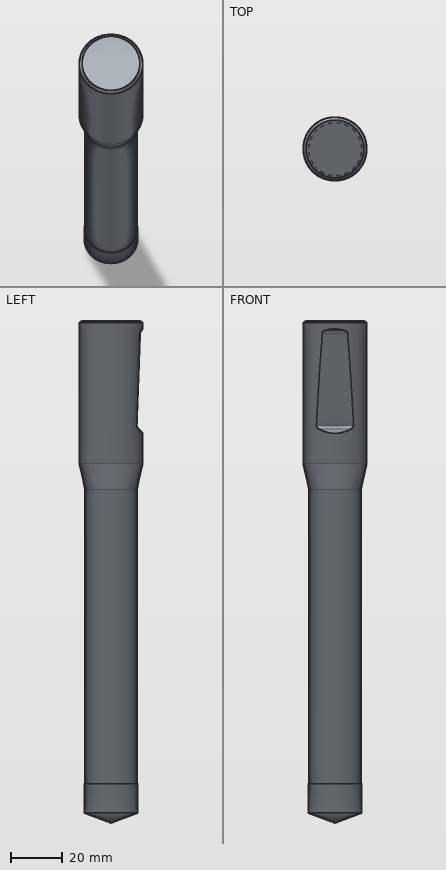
import cadquery as cq

total_height = 196.5
point_height = 4.0
tip_top = 15.3
neck_top = 130.7
shoulder_top = 140.7

shank_diameter = 25.0
neck_diameter = 20.5
tip_top_diameter = 20.8
tip_bottom_diameter = 21.0

chamfer_width = 1.2
chamfer_height = 0.8

flat_top = 192.4
flat_bottom = 154.8
flat_top_depth = 1.0
flat_bottom_depth = 2.4
flat_fillet = 2.0
cutter_clearance = 2.0

shank_radius = shank_diameter / 2
neck_radius = neck_diameter / 2
tip_top_radius = tip_top_diameter / 2
tip_bottom_radius = tip_bottom_diameter / 2


def make_holder():
    """Turned body: slim neck, conical shoulder, and shank with its clamping flat."""
    profile = [
        (0, tip_top),
        (neck_radius, tip_top),
        (neck_radius, neck_top),
        (shank_radius, shoulder_top),
        (shank_radius, total_height - chamfer_height),
        (shank_radius - chamfer_width, total_height),
        (0, total_height),
    ]
    turned = cq.Workplane("XZ").polyline(profile).close().revolve(360, (0, 0), (0, 1))
    return turned.cut(make_flat_cutter())


def make_flat_cutter():
    """Wedge that cuts the flat, rounded where its end walls meet the flat."""
    outer_y = -shank_radius - cutter_clearance
    profile = [
        (-shank_radius + flat_top_depth, flat_top),
        (-shank_radius + flat_bottom_depth, flat_bottom),
        (outer_y, flat_bottom - flat_bottom_depth - cutter_clearance),
        (outer_y, flat_top + flat_top_depth + cutter_clearance),
    ]
    wedge = cq.Workplane("YZ").polyline(profile).close().extrude(shank_radius, both=True)
    flat_corners = (
        (-shank_radius, -shank_radius, flat_bottom - flat_fillet),
        (shank_radius, 0, flat_top + flat_fillet),
    )
    return wedge.edges("|X").edges(cq.selectors.BoxSelector(*flat_corners)).fillet(flat_fillet)


def make_tip():
    """Cutting tip that widens slightly downwards to a shallow conical point."""
    profile = [
        (0, 0),
        (tip_bottom_radius, point_height),
        (tip_top_radius, tip_top),
        (0, tip_top),
    ]
    return cq.Workplane("XZ").polyline(profile).close().revolve(360, (0, 0), (0, 1))


holder = make_holder()
tip = make_tip()
result = cq.Compound.makeCompound([holder.val(), tip.val()])